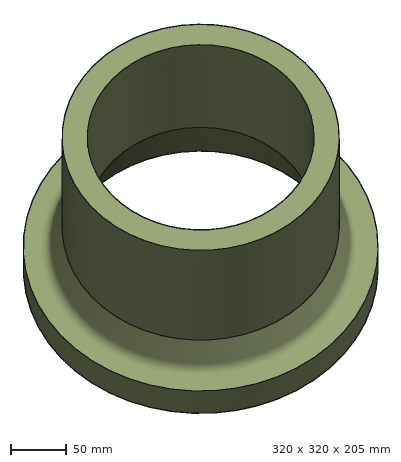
import cadquery as cq
import math

pipe_diameter = 250.0
wall_thickness = 22.7
total_height = 205.0
flange_diameter = 320.0
flange_thickness = 35.0
cone_base_diameter = 275.0
cone_height = 30.0
root_fillet_radius = 10.0
flare_mouth_diameter = 260.0
flare_half_angle = 20.0

pipe_radius = pipe_diameter / 2
bore_radius = pipe_radius - wall_thickness
flange_radius = flange_diameter / 2
cone_base_radius = cone_base_diameter / 2
cone_top_z = flange_thickness + cone_height
flare_mouth_radius = flare_mouth_diameter / 2
flare_top_z = (flare_mouth_radius - bore_radius) / math.tan(math.radians(flare_half_angle))


def revolve_about_z(profile):
    """Revolve a closed half-profile in the XZ plane about the Z axis."""
    return profile.revolve(360, (0, 0, 0), (0, 1, 0))


def make_body():
    """Solid flange, outer cone and pipe."""
    profile = (
        cq.Workplane("XZ")
        .lineTo(flange_radius, 0)
        .lineTo(flange_radius, flange_thickness)
        .lineTo(cone_base_radius, flange_thickness)
        .lineTo(pipe_radius, cone_top_z)
        .lineTo(pipe_radius, total_height)
        .lineTo(0, total_height)
        .close()
    )
    return revolve_about_z(profile)


def round_cone_root(body):
    """Fillet the inner corner where the outer cone meets the flange."""
    margin = 1.0
    root_reach = cone_base_radius + margin
    root_zone = cq.selectors.BoxSelector(
        (-root_reach, -root_reach, flange_thickness - margin),
        (root_reach, root_reach, flange_thickness + margin),
        boundingbox=True,
    )
    return body.edges(root_zone).fillet(root_fillet_radius)


def cut_flared_bore(body):
    """Cut the through bore, which widens as a cone towards the flange face."""
    profile = (
        cq.Workplane("XZ")
        .lineTo(flare_mouth_radius, 0)
        .lineTo(bore_radius, flare_top_z)
        .lineTo(bore_radius, total_height)
        .lineTo(0, total_height)
        .close()
    )
    return body.cut(revolve_about_z(profile))


result = cut_flared_bore(round_cone_root(make_body()))